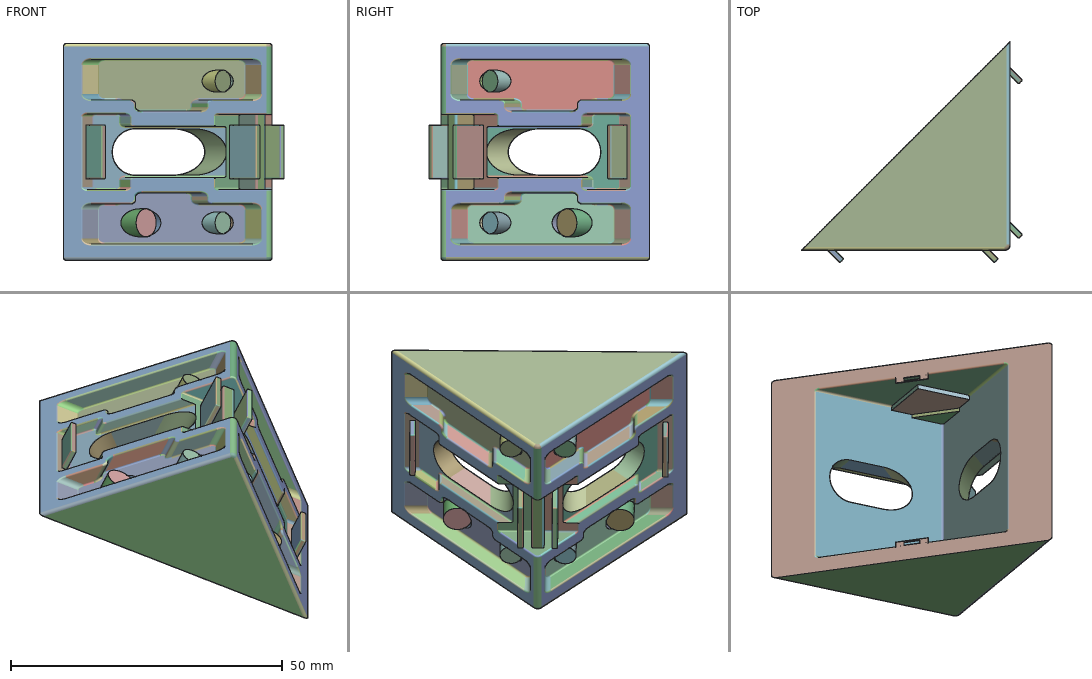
import cadquery as cq
import math


ROOT2 = math.sqrt(2)
TO_CORNER = cq.Vector(1, -1, 0)

LEG = 38.4
HEIGHT = 40.0
WEB = 3.0
CORNER_RADIUS = 1.0
OUTER_EDGE_RADIUS = 0.6
RIM_RADIUS = 0.3
REACH = 2 * LEG

CAVITY_OFFSET = 2 * WEB
CAVITY_HALF_HEIGHT = 16.95
CAVITY_EDGE_RADIUS = 0.35
LEDGE_SIZE = 16.65
LEDGE_HALF_HEIGHT = 16.1
CORNER_LEDGE_DEPTH = 19.9
CORNER_LEDGE_HALF_HEIGHT = 15.45

LIP_WIDTH = 6.25
LIP_THICKNESS = 0.25
LIP_WINDOW_WIDTH = 3.1
LIP_WINDOW_HALF_HEIGHT = 16.35

END_WALL_DEPTH = 3.45
FLOOR_RADIUS = 0.3
POCKET_END = 36.5
POCKET_TOP = 16.95
POCKET_BOTTOM = 9.58
POCKET_STEP_START = 13.68
POCKET_STEP_END = 26.6
POCKET_STEP_BOTTOM = 7.5
POCKET_CORNER_RADIUS = 1.0
POCKET_STEP_RADIUS = 0.75

RECESS_FLOOR = 2.0
RECESS_END = 12.42
RECESS_HALF_HEIGHT = 6.95
RECESS_CORNER_RADIUS = 0.5
CHANNEL_HALF_HEIGHT = 4.65

CORNER_RECESS_DEPTH = 27.9
CORNER_RECESS_HALF_HEIGHT = 6.85
RIB_THICKNESS = 2.35
RIB_END_DEPTH = 34.4
RIB_EDGE_RADIUS = 0.35

SLOT_RADIUS = 4.25
SLOT_STRAIGHT_CENTER = 13.27
SLOT_SLANTED_END = 25.98

SHARP_TAB_PLANE = 5.5
CORNER_TAB_PLANE = 33.95
TAB_THICKNESS = 1.0
TAB_HALF_HEIGHT = 4.95
TAB_PROTRUSION = 2.2
TAB_EDGE_RADIUS = 0.2
ROOT_OVERLAP = 0.4

PADS = ((28.37, 13.03, 2.03), (28.37, -13.03, 2.03), (14.25, -13.03, 2.6))
PAD_RISE = 0.97


def prism(outline, half_height):
    """Upright prism on an XY outline, centred on Z = 0."""
    return cq.Workplane("XY").polyline(outline).close().extrude(half_height, both=True)


def diagonal_block(across, depth, half_height):
    """Block square to the diagonal, between two values of x + y and two values of x - y."""
    near, far = depth
    left, right = across
    corners = ((left, near), (right, near), (right, far), (left, far))
    return prism([((a + d) / 2, (a - d) / 2) for a, d in corners], half_height)


def centred_across(plane, thickness):
    """Limits of x + y for a wall of this thickness centred on a plane across the diagonal."""
    half = thickness / ROOT2
    return plane - half, plane + half


def on_both_legs(shape):
    """The shape together with its mirror image on the other leg."""
    return shape.union(shape.mirror((1, 1, 0), (LEG, 0, 0)))


def slanted_pocket(outline, floor):
    """Pocket in Y = 0 with an XZ outline, sides along the diagonal, and an end wall of even thickness."""
    start = [cq.Vector(x + floor, -floor, z) for x, z in outline]
    face = cq.Face.makeFromWires(cq.Wire.makePolygon(start, close=True))
    swept = cq.Workplane(cq.Solid.extrudeLinear(face, TO_CORNER * (-2 * floor)))
    return swept.intersect(diagonal_block((-REACH, REACH), (END_WALL_DEPTH, REACH), HEIGHT))


def make_body():
    body = prism([(0, 0), (LEG, 0), (LEG, LEG)], HEIGHT / 2)
    body = body.edges("|Z").edges(">(1,-1,0)").fillet(CORNER_RADIUS)
    return body.faces("|Z").edges("not |(1,1,0)").fillet(OUTER_EDGE_RADIUS)


def make_cavity():
    inner = LEG - CAVITY_OFFSET
    cavity = prism([(-REACH, CAVITY_OFFSET), (inner, CAVITY_OFFSET), (inner, REACH)], CAVITY_HALF_HEIGHT)
    cavity = cavity.faces(">X or <Y").edges().fillet(CAVITY_EDGE_RADIUS)

    ledge_start = LEG - LEDGE_SIZE
    ledge_outline = [(ledge_start, 0), (LEG, 0), (LEG, LEDGE_SIZE), (ledge_start, LEDGE_SIZE)]
    ledges = prism(ledge_outline, HEIGHT).cut(prism(ledge_outline, LEDGE_HALF_HEIGHT))
    corner_limits = ((-REACH, REACH), (CORNER_LEDGE_DEPTH, REACH))
    corner_ledges = diagonal_block(*corner_limits, HEIGHT)
    corner_ledges = corner_ledges.cut(diagonal_block(*corner_limits, CORNER_LEDGE_HALF_HEIGHT))
    return cavity.cut(ledges).cut(corner_ledges)


def make_lips():
    """Thin lips at the top and bottom of the cavity mouth, each with a small window."""
    depth = (0, LIP_THICKNESS * ROOT2)
    across = centred_across(LEG, LIP_WIDTH)
    lips = diagonal_block(across, depth, CAVITY_HALF_HEIGHT + RIM_RADIUS)
    lips = lips.cut(diagonal_block(across, depth, LEDGE_HALF_HEIGHT))
    across = centred_across(LEG, LIP_WINDOW_WIDTH)
    windows = diagonal_block(across, depth, CAVITY_HALF_HEIGHT)
    windows = windows.cut(diagonal_block(across, depth, LIP_WINDOW_HALF_HEIGHT))
    return lips.cut(windows)


def make_pockets():
    outline = [
        (-REACH, POCKET_TOP),
        (POCKET_END, POCKET_TOP),
        (POCKET_END, POCKET_BOTTOM),
        (POCKET_STEP_END, POCKET_BOTTOM),
        (POCKET_STEP_END, POCKET_STEP_BOTTOM),
        (POCKET_STEP_START, POCKET_STEP_BOTTOM),
        (POCKET_STEP_START, POCKET_BOTTOM),
        (-REACH, POCKET_BOTTOM),
    ]
    pocket = slanted_pocket(outline, WEB)
    pocket = pocket.edges("|(1,-1,0)").edges("not >>(1,1,0)").fillet(POCKET_STEP_RADIUS)
    end_walls = pocket.faces("<(1,-1,0) or >(1,1,0)")
    pocket = end_walls.edges("|(1,1,0) or |(1,-1,0)").fillet(POCKET_CORNER_RADIUS)
    pocket = pocket.faces(">Y").edges().fillet(FLOOR_RADIUS)
    return pocket.union(pocket.mirror("XY"))


def make_recess():
    """Recess around the tab at the sharp end, running on as the channel for the screw."""
    upper_half = [
        (-REACH, RECESS_HALF_HEIGHT),
        (RECESS_END, RECESS_HALF_HEIGHT),
        (RECESS_END, CHANNEL_HALF_HEIGHT),
        (LEG, CHANNEL_HALF_HEIGHT),
    ]
    lower_half = [(x, -z) for x, z in reversed(upper_half)]
    recess = slanted_pocket(upper_half + lower_half, RECESS_FLOOR)
    recess = recess.edges("|(1,-1,0)").edges("not >>(1,1,0)").fillet(RECESS_CORNER_RADIUS)
    recess = recess.faces("<(1,-1,0)").edges("|(1,1,0)").fillet(RECESS_CORNER_RADIUS)
    return recess.faces(">Y").edges().fillet(FLOOR_RADIUS)


def make_corner_recess():
    limits = ((-REACH, 2 * REACH), (CORNER_RECESS_DEPTH, REACH))
    recess = diagonal_block(*limits, CORNER_RECESS_HALF_HEIGHT)
    return recess.faces("<(1,-1,0)").edges("not |Z").fillet(FLOOR_RADIUS)


def make_slot():
    """Slot with a straight round end near the sharp edge and a slanted one near the square corner."""
    depth = 1.5 * CAVITY_OFFSET
    slanted_start = SLOT_SLANTED_END - SLOT_RADIUS * ROOT2 + CAVITY_OFFSET
    outline = [
        (SLOT_STRAIGHT_CENTER, 0),
        (slanted_start, 0),
        (slanted_start - depth, depth),
        (SLOT_STRAIGHT_CENTER, depth),
    ]
    straight_end = cq.Solid.makeCylinder(
        SLOT_RADIUS, depth, cq.Vector(SLOT_STRAIGHT_CENTER, 0, 0), cq.Vector(0, 1, 0)
    )
    slanted_end = cq.Solid.makeCylinder(
        SLOT_RADIUS,
        2 * depth * ROOT2,
        cq.Vector(slanted_start + depth / 2, -depth / 2, 0),
        TO_CORNER * -1,
    )
    return prism(outline, SLOT_RADIUS).union(straight_end).union(slanted_end)


def make_tab(plane, wall_depth):
    across = centred_across(plane, TAB_THICKNESS)
    rounded_off = TAB_EDGE_RADIUS * (ROOT2 - 1)
    tip_depth = across[0] + 2 * (TAB_PROTRUSION + rounded_off)
    tab = diagonal_block(across, (wall_depth - ROOT_OVERLAP, tip_depth), TAB_HALF_HEIGHT)
    return tab.edges("not <(1,-1,0)").fillet(TAB_EDGE_RADIUS)


def make_rib():
    depth = (CORNER_RECESS_DEPTH - ROOT_OVERLAP, RIB_END_DEPTH)
    rib = diagonal_block(centred_across(LEG, RIB_THICKNESS), depth, CORNER_RECESS_HALF_HEIGHT)
    return rib.faces(">(1,-1,0)").edges("|Z").fillet(RIB_EDGE_RADIUS)


def pad_cylinder(x, z, radius, direction):
    """Cylinder along the diagonal that starts at the flat of a pad."""
    center = cq.Vector(x + PAD_RISE, WEB - PAD_RISE, z)
    return cq.Workplane(cq.Solid.makeCylinder(radius, CAVITY_OFFSET, center, direction))


def add_pads(body):
    """Pads stand out of the pocket floor on one side and sink into it on the other."""
    root = WEB + ROOT_OVERLAP
    web = prism([(0, 0), (LEG, 0), (LEG, root), (0, root)], HEIGHT / 2)
    for pad in PADS:
        above = pad_cylinder(*pad, TO_CORNER)
        below = pad_cylinder(*pad, TO_CORNER * -1).intersect(web)
        body = body.cut(on_both_legs(above)).union(on_both_legs(below))
    return body


def round_rims(body, faces):
    """Round the edges of all openings in the given outer faces, leaving their outlines alone."""
    limit = HEIGHT / 2 - 2 * OUTER_EDGE_RADIUS
    openings = cq.selectors.BoxSelector((-REACH, -REACH, -limit), (REACH, REACH, limit), boundingbox=True)
    return body.faces(faces).edges(openings).fillet(RIM_RADIUS)


bracket = make_body().cut(make_cavity())
bracket = bracket.cut(on_both_legs(make_pockets()))
bracket = bracket.cut(on_both_legs(make_recess())).cut(make_corner_recess())
bracket = round_rims(bracket, "<(1,-1,0)")
bracket = round_rims(bracket, "<Y or >X")
bracket = bracket.cut(on_both_legs(make_slot()))
bracket = bracket.union(on_both_legs(make_tab(SHARP_TAB_PLANE, END_WALL_DEPTH)))
bracket = bracket.union(on_both_legs(make_tab(CORNER_TAB_PLANE, CORNER_RECESS_DEPTH)))
bracket = bracket.union(make_rib()).union(make_lips())
result = add_pads(bracket)